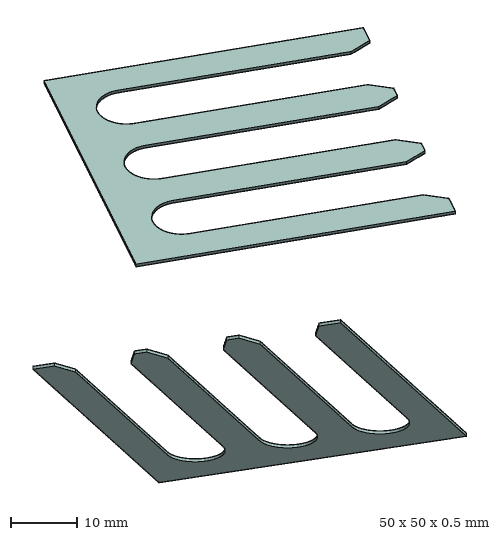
import cadquery as cq

side = 50.0
thickness = 0.5

slot_count = 3
slot_pitch = 15.0
slot_width = 9.0
slot_radius = slot_width / 2
slot_floor = 5.5

mouth_flare = 2.0
mouth_depth = 3.5

top_edge = side / 2
arc_bottom = -side / 2 + slot_floor
arc_center = arc_bottom + slot_radius
mouth_start = top_edge - mouth_depth
mouth_half_width = slot_radius + mouth_flare


def slot_cutter(center_x):
    """Round-bottomed slot that flares out at the top edge of the plate."""
    return (
        cq.Workplane("XY")
        .workplane(offset=-thickness / 2)
        .center(center_x, 0)
        .moveTo(-mouth_half_width, top_edge)
        .lineTo(-slot_radius, mouth_start)
        .lineTo(-slot_radius, arc_center)
        .threePointArc((0, arc_bottom), (slot_radius, arc_center))
        .lineTo(slot_radius, mouth_start)
        .lineTo(mouth_half_width, top_edge)
        .close()
        .extrude(thickness)
    )


result = cq.Workplane("XY").box(side, side, thickness)
for index in range(slot_count):
    slot_x = (index - (slot_count - 1) / 2) * slot_pitch
    result = result.cut(slot_cutter(slot_x))